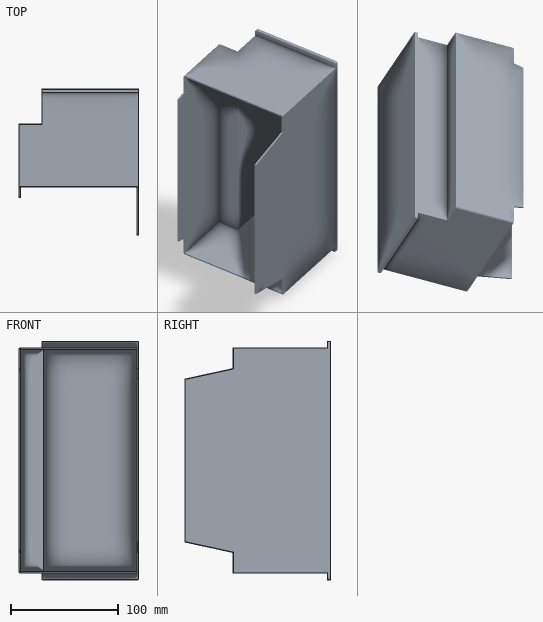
import cadquery as cq

width = 111.0
depth = 135.0
height = 221.0

sheet = 1.5
edge_radius = 2.0
rim_reach = 6.2
rim_thickness = 3.0
rim_corner_radius = 1.5
step_width = 21.2
step_depth = 32.3
box_depth = 90.4
left_flap_depth = 100.3
flap_root_height = 170.2
flap_tip_height = 150.7

box_height = height - 2 * rim_reach


def box_between(x_range, y_range, tall):
    """Block centred on Z = 0 between the given X and Y limits."""
    x_size = x_range[1] - x_range[0]
    y_size = y_range[1] - y_range[0]
    block = cq.Workplane("XY").box(x_size, y_size, tall)
    return block.translate((sum(x_range) / 2, sum(y_range) / 2, 0))


def make_body():
    """Stepped outer block with rounded upper and lower left edges."""
    front = box_between((0, width), (-box_depth, -step_depth), box_height)
    front = front.edges("|Y and <X").fillet(edge_radius)
    rear = box_between((step_width, width), (-step_depth, 0), box_height)
    return front.union(rear)


def make_cavity():
    """Stepped hollow, open to the front."""
    inner_height = box_height - 2 * sheet
    right = width - sheet
    front = box_between((sheet, right), (-box_depth, -step_depth - sheet), inner_height)
    rear = box_between((step_width + sheet, right), (-box_depth, -rim_thickness), inner_height)
    return front.union(rear)


def make_rim():
    """Rear plate that stands above and below the box."""
    plate = box_between((step_width, width), (-rim_thickness, 0), height)
    return plate.edges("|Y").fillet(rim_corner_radius)


def make_flaps():
    """Tapered extensions of the side walls; the left one is cut shorter."""
    outline = [
        (-box_depth, -flap_root_height / 2),
        (-depth, -flap_tip_height / 2),
        (-depth, flap_tip_height / 2),
        (-box_depth, flap_root_height / 2),
    ]
    flap = cq.Workplane("YZ").polyline(outline).close().extrude(sheet)
    left_limit = box_between((0, sheet), (-left_flap_depth, -box_depth), height)
    return flap.intersect(left_limit).union(flap.translate((width - sheet, 0, 0)))


result = make_body().cut(make_cavity()).union(make_rim()).union(make_flaps())